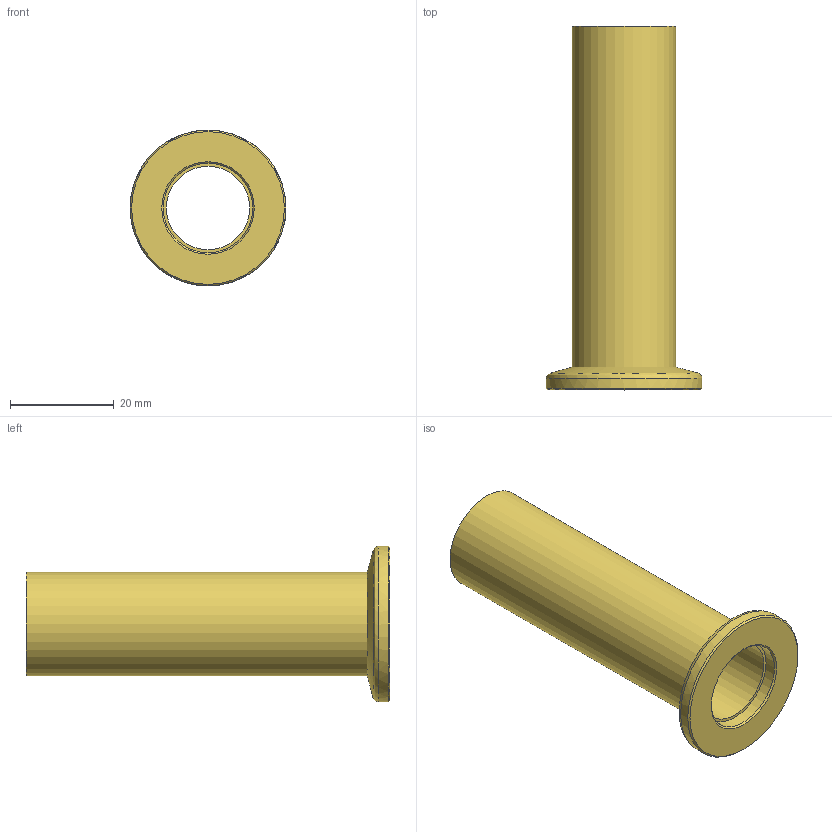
import cadquery as cq
import math


total_length = 70.0
tube_radius = 10.0
bore_radius = 8.0

flange_radius = 15.0
rim_back_y = 3.0
clamp_angle = 15.0
rim_fillet = 1.0
edge_break = 0.3

recess_radius = 8.6
recess_depth = 2.6

cone_end_y = rim_back_y + (flange_radius - tube_radius) * math.tan(math.radians(clamp_angle))


def revolve_about_y(points):
    """Turn a closed (radius, y) outline into a solid of revolution about Y."""
    return cq.Workplane("XY").polyline(points).close().revolve(360, (0, 0, 0), (0, 1, 0))


def flanged_tube():
    """Outer body, with the rounded corner between the rim and the conical back."""
    body = revolve_about_y([
        (0, 0),
        (flange_radius - edge_break, 0),
        (flange_radius, edge_break),
        (flange_radius, rim_back_y),
        (tube_radius, cone_end_y),
        (tube_radius, total_length),
        (0, total_length),
    ])
    rim_corner = cq.selectors.NearestToPointSelector((0, rim_back_y, 0))
    return body.edges(rim_corner).fillet(rim_fillet)


def bore_and_recess():
    """Through bore with the chamfered recess at the flange face."""
    return revolve_about_y([
        (0, 0),
        (recess_radius + edge_break, 0),
        (recess_radius, edge_break),
        (recess_radius, recess_depth),
        (bore_radius, recess_depth),
        (bore_radius, total_length),
        (0, total_length),
    ])


result = flanged_tube().cut(bore_and_recess())